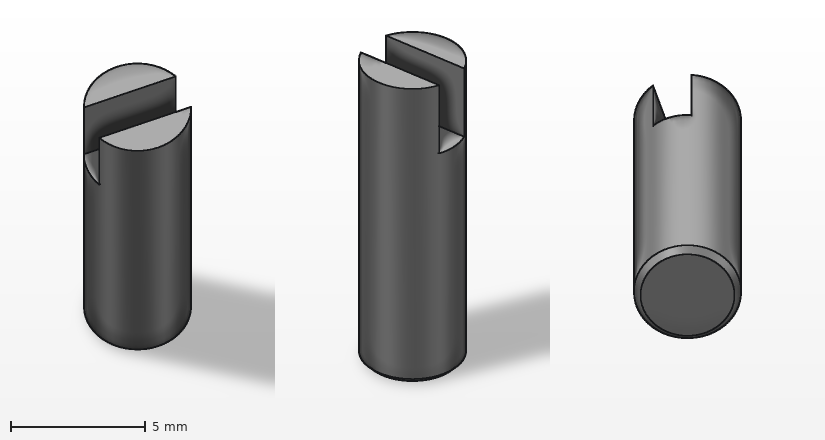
import cadquery as cq

pin_diameter = 4.0
pin_length = 13.0
slot_width = 1.5
slot_depth = 3.0
chamfer_size = 0.25


def make_pin():
    """Upright round pin with a chamfered bottom edge."""
    pin = cq.Workplane("XY").circle(pin_diameter / 2).extrude(pin_length)
    return pin.faces("<Z").chamfer(chamfer_size)


def cut_slot(pin):
    """Cut a centred slot across the top end, running along Y."""
    slot = (
        cq.Workplane("XY")
        .workplane(offset=pin_length - slot_depth)
        .rect(slot_width, pin_diameter)
        .extrude(slot_depth)
    )
    return pin.cut(slot)


result = cut_slot(make_pin())